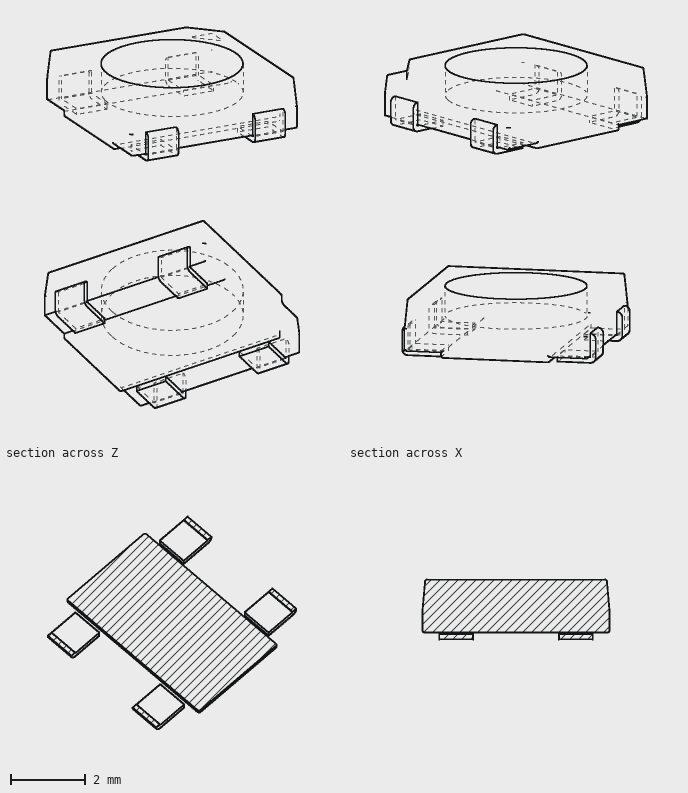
import cadquery as cq
import math


housing_width = 5.0
top_z = 1.61
seam_z = 0.8
draft_angle = 5.0
edge_radius = 0.06

wing_z = 0.19
pedestal_z = 0.04
pedestal_width = 2.97

notch_leg = 0.91
notch_depth = 0.3

overall_width = 5.3
lead_width = 0.905
lead_pitch = 3.2
lead_thickness = (overall_width - housing_width) / 2
foot_thickness = 0.16
foot_inner_x = 1.595

lens_diameter = 3.795
lens_depth = top_z - seam_z


def make_lower_housing():
    """Straight-walled base with a pedestal that runs the full depth along Y."""
    half_width = housing_width / 2
    half_pedestal = pedestal_width / 2
    outline = [
        (-half_width, seam_z),
        (-half_width, wing_z),
        (-half_pedestal, wing_z),
        (-half_pedestal, pedestal_z),
        (half_pedestal, pedestal_z),
        (half_pedestal, wing_z),
        (half_width, wing_z),
        (half_width, seam_z),
    ]
    base = cq.Workplane("XZ").polyline(outline).close().extrude(half_width, both=True)
    end_edges = base.faces("<Y or >Y").edges().filter(lambda edge: edge.Center().z < seam_z - edge_radius)
    pedestal_edges = base.faces("<Z").edges("|Y")
    return base.newObject(end_edges.vals() + pedestal_edges.vals()).fillet(edge_radius)


def make_notch_cutter():
    """Triangular prism that removes the polarity corner."""
    half_width = housing_width / 2
    return (
        cq.Workplane("XY")
        .workplane(offset=top_z - notch_depth)
        .moveTo(-half_width, half_width)
        .lineTo(-half_width, half_width - notch_leg)
        .lineTo(-half_width + notch_leg, half_width)
        .close()
        .extrude(notch_depth)
    )


def make_upper_housing():
    """Drafted cover with the polarity notch, every edge above the seam rounded."""
    cover = (
        cq.Workplane("XY")
        .workplane(offset=seam_z)
        .rect(housing_width, housing_width)
        .extrude(top_z - seam_z, taper=draft_angle)
        .cut(make_notch_cutter())
    )
    edges_above_seam = cover.edges().filter(lambda edge: edge.Center().z > seam_z + edge_radius)
    return edges_above_seam.fillet(edge_radius)


def make_lead(side, y_centre):
    """L-shaped lead on one side (-1 for -X, 1 for +X), wrapped down the wall and under the wing."""
    outer_x = overall_width / 2
    wall_x = housing_width / 2
    upper_arc_z = seam_z - lead_thickness
    lower_arc_z = lead_thickness
    arc_middle = lead_thickness * math.sin(math.radians(45))
    return (
        cq.Workplane("XZ", origin=(0, y_centre, 0))
        .moveTo(side * wall_x, seam_z)
        .threePointArc(
            (side * (wall_x + arc_middle), upper_arc_z + arc_middle),
            (side * outer_x, upper_arc_z),
        )
        .lineTo(side * outer_x, lower_arc_z)
        .threePointArc(
            (side * (wall_x + arc_middle), lower_arc_z - arc_middle),
            (side * wall_x, 0),
        )
        .lineTo(side * foot_inner_x, 0)
        .lineTo(side * foot_inner_x, foot_thickness)
        .lineTo(side * wall_x, foot_thickness)
        .close()
        .extrude(lead_width / 2, both=True)
    )


def make_lens():
    """Flat disc that fills the round cavity flush with the top."""
    return (
        cq.Workplane("XY")
        .workplane(offset=top_z - lens_depth)
        .circle(lens_diameter / 2)
        .extrude(lens_depth)
    )


lens = make_lens()

housing = make_lower_housing().union(make_upper_housing())
for side in (-1, 1):
    for y_centre in (-lead_pitch / 2, lead_pitch / 2):
        housing = housing.union(make_lead(side, y_centre))
housing = housing.cut(lens)

result = cq.Compound.makeCompound([housing.solids().val(), lens.val()])